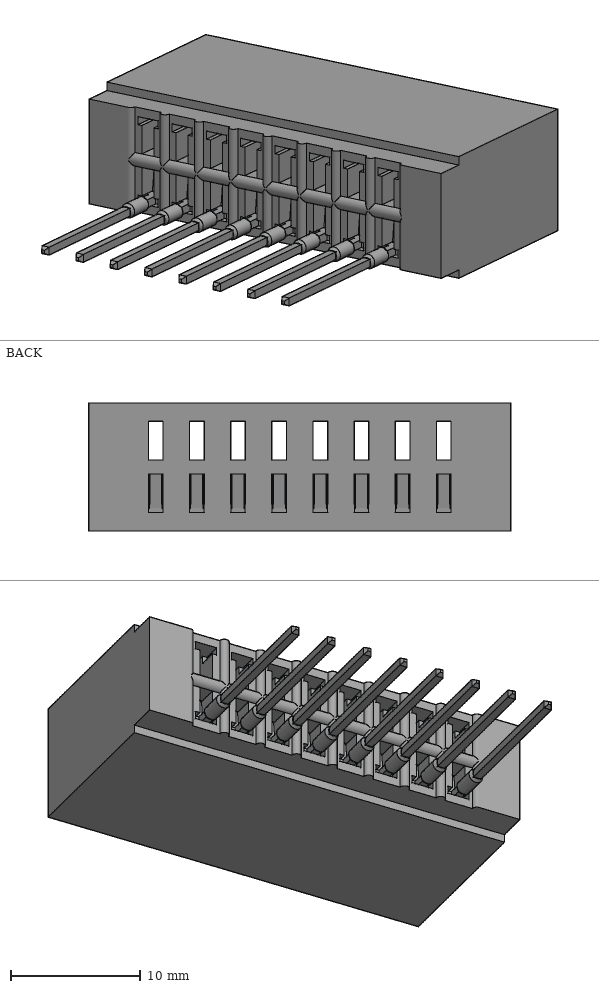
import cadquery as cq
import math


housing_length = 32.65
housing_depth = 16.32
housing_height = 9.92
nose_depth = 2.48
nose_height = 8.55

contact_count = 8
row_length = 22.25
pitch = row_length / (contact_count - 1)
contact_positions = [i * pitch - row_length / 2 for i in range(contact_count)]

panel_length = contact_count * pitch
panel_depth = 0.4
rib_radius = panel_depth
bar_radius = 0.6
bar_half_height = math.sqrt(bar_radius**2 - (bar_radius - panel_depth) ** 2)

slot_width = 1.1
slot_end = 3.53
slot_height = slot_end - bar_half_height
slot_head_width = 1.85
slot_head_height = 0.65
slot_head_depth = 1.95

tail_size = slot_head_height
contact_z = -slot_end + tail_size / 2
tail_reach = 14.25
tip_length = 0.35
tip_size = 0.25
collar_radius = 0.6
collar_neck_radius = 0.4
collar_start = 0.13
collar_end = 2.6
collar_taper = 0.25
shoulder_width = 1.73
shoulder_length = 0.98
leaf_width = 0.95
leaf_thickness = 0.25
leaf_lean = 0.33


def make_block():
    """Solid block with a lower nose at the front."""
    body_depth = housing_depth - nose_depth
    body = cq.Workplane("XY").box(housing_length, body_depth, housing_height, centered=(True, False, True))
    nose = cq.Workplane("XY").box(housing_length, nose_depth, nose_height, centered=(True, False, True))
    return nose.union(body.translate((0, nose_depth, 0)))


def make_front_panel_cut():
    """Shallow recess in the nose, less the ribs and the bar that stay standing in it."""
    recess = cq.Workplane("XY").box(panel_length, panel_depth, nose_height, centered=(True, False, True))
    for i in range(contact_count + 1):
        rib = cq.Workplane("XY").circle(rib_radius).extrude(nose_height)
        recess = recess.cut(rib.translate((i * pitch - panel_length / 2, rib_radius, -nose_height / 2)))
    bar = cq.Workplane("YZ").circle(bar_radius).extrude(panel_length)
    return recess.cut(bar.translate((-panel_length / 2, bar_radius, 0)))


def make_slot():
    """T-shaped slot above the bar: a through stem with a blind head at its outer end."""
    stem = cq.Workplane("XY").box(slot_width, housing_depth, slot_height, centered=(True, False, False))
    head = cq.Workplane("XY").box(
        slot_head_width, slot_head_depth, slot_head_height, centered=(True, False, False)
    )
    stem = stem.translate((0, 0, bar_half_height))
    return stem.union(head.translate((0, 0, slot_end - slot_head_height)))


def make_housing():
    housing = make_block().cut(make_front_panel_cut())
    upper_slot = make_slot()
    lower_slot = upper_slot.mirror("XY")
    for x in contact_positions:
        housing = housing.cut(upper_slot.translate((x, 0, 0)))
        housing = housing.cut(lower_slot.translate((x, 0, 0)))
    return housing


def make_tail():
    """Square tail from the end of the slot head forward to a tapered tip."""
    straight_end = tail_reach - tip_length
    shaft = (
        cq.Workplane("XZ", origin=(0, slot_head_depth, contact_z))
        .rect(tail_size, tail_size)
        .extrude(slot_head_depth + straight_end)
    )
    tip = (
        cq.Workplane("XZ", origin=(0, -straight_end, contact_z))
        .rect(tail_size, tail_size)
        .workplane(offset=tip_length)
        .rect(tip_size, tip_size)
        .loft()
    )
    return shaft.union(tip)


def make_collar():
    """Round collar with conical ends on the tail, just in front of the housing."""
    profile = [
        (0, -collar_start),
        (collar_neck_radius, -collar_start),
        (collar_radius, -collar_start - collar_taper),
        (collar_radius, -collar_end + collar_taper),
        (collar_neck_radius, -collar_end),
        (0, -collar_end),
    ]
    collar = cq.Workplane("XY").polyline(profile).close().revolve(360, (0, 0, 0), (0, 1, 0))
    return collar.translate((0, 0, contact_z))


def make_shoulder():
    """Wide plate seated against the bottom of the slot head."""
    return cq.Workplane("XY").box(shoulder_width, shoulder_length, tail_size).translate(
        (0, slot_head_depth - shoulder_length / 2, contact_z)
    )


def make_leaf():
    """Spring leaf rising from the tail to the top of the lower slot, leaning backward."""
    foot_y = slot_head_depth - leaf_thickness
    foot_z = contact_z
    top_y = foot_y + leaf_lean
    profile = [
        (foot_y, foot_z),
        (foot_y + leaf_thickness, foot_z),
        (top_y + leaf_thickness, -bar_half_height),
        (top_y, -bar_half_height),
    ]
    return cq.Workplane("YZ").polyline(profile).close().extrude(leaf_width / 2, both=True)


def make_contact():
    return make_tail().union(make_collar()).union(make_shoulder()).union(make_leaf())


housing = make_housing()
contact = make_contact()
contacts = [contact.translate((x, 0, 0)) for x in contact_positions]

result = cq.Compound.makeCompound([housing.val(), *[c.val() for c in contacts]])